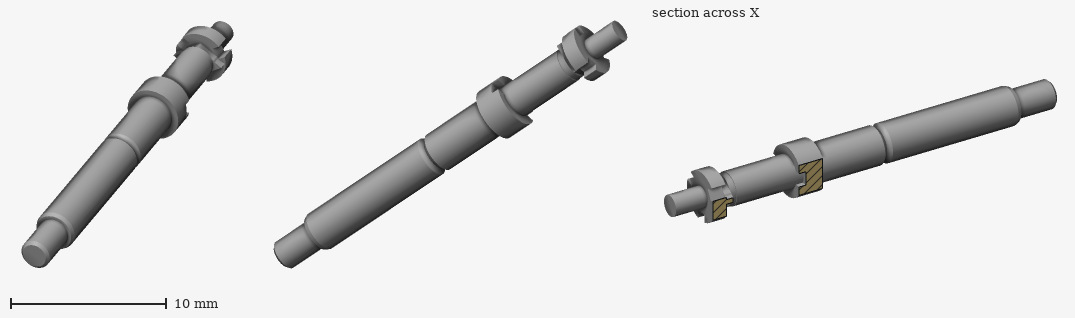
import cadquery as cq
import math

total_length = 28.7

tail_radius = 1.0
barrel_radius = 1.35
groove_radius = 1.1
collar_radius = 1.795
flange_radius = 1.765
sleeve_radius = 1.18
neck_radius = 1.12
tip_radius = 0.75

tail_end = 2.95
groove_centre = 13.0
collar_start = 18.05
collar_end = 19.85
sleeve_end = 24.37
drive_start = 24.8
flange_start = 25.3
flange_end = 26.35

tail_chamfer = 0.2
barrel_chamfer_length = 0.3
barrel_chamfer_height = 0.11
groove_half_width = 0.3

collar_slot_width = 0.95
collar_slot_depth = 0.52

notch_count = 3
notch_width = 0.8
notch_floor = 1.15

cut_clearance = 0.3

drive_ridge = neck_radius
drive_face_slope = math.tan(math.radians(32))
drive_shoulder = 1.15
lug_start = 1.23
lug_tip = 1.7


def extrude_along_y(outline, start, end):
    """Closed (x, z) outline extruded between two Y positions."""
    plane = cq.Workplane("XZ", origin=(0, start, 0))
    return plane.polyline(outline).close().extrude(start - end)


def make_shaft():
    """Turned body up to the drive, with tail, groove and collar."""
    profile = (
        cq.Workplane("XY")
        .lineTo(tail_radius - tail_chamfer, 0)
        .lineTo(tail_radius, tail_chamfer)
        .lineTo(tail_radius, tail_end)
        .lineTo(barrel_radius - barrel_chamfer_height, tail_end)
        .lineTo(barrel_radius, tail_end + barrel_chamfer_length)
        .lineTo(barrel_radius, groove_centre - groove_half_width)
        .lineTo(groove_radius, groove_centre)
        .lineTo(barrel_radius, groove_centre + groove_half_width)
        .lineTo(barrel_radius, collar_start)
        .lineTo(collar_radius, collar_start)
        .lineTo(collar_radius, collar_end)
        .lineTo(sleeve_radius, collar_end)
        .lineTo(sleeve_radius, sleeve_end)
        .lineTo(neck_radius, sleeve_end)
        .lineTo(neck_radius, drive_start)
        .lineTo(0, drive_start)
        .close()
    )
    return profile.revolve(360, (0, 0, 0), (0, 1, 0))


def make_collar_slots():
    """Cutter for the two collar slots, which stop at the sleeve surface."""
    slot_start = collar_end - collar_slot_depth
    bar = cq.Workplane("XY").box(2 * collar_radius + cut_clearance, collar_slot_depth, collar_slot_width)
    bar = bar.translate((0, slot_start + collar_slot_depth / 2, 0))
    sleeve = cq.Workplane("XZ", origin=(0, slot_start, 0)).circle(sleeve_radius)
    return bar.cut(sleeve.extrude(-collar_slot_depth))


def make_drive():
    """Rhombic drive key with a stepped lug on each side."""
    shoulder_height = drive_ridge - drive_shoulder * drive_face_slope
    lug_height = (lug_tip - lug_start) * drive_face_slope
    outline = [
        (0, drive_ridge),
        (drive_shoulder, shoulder_height),
        (lug_start, lug_height),
        (lug_tip, 0),
        (0, -drive_ridge),
        (-lug_tip, 0),
        (-lug_start, lug_height),
        (-drive_shoulder, shoulder_height),
    ]
    return extrude_along_y(outline, drive_start, flange_start)


def make_flange():
    """Flange with flat-floored radial notches."""
    flange = cq.Workplane("XZ", origin=(0, flange_start, 0)).circle(flange_radius)
    flange = flange.extrude(flange_start - flange_end)
    half_width = notch_width / 2
    notch_outline = [
        (-half_width, -notch_floor),
        (half_width, -notch_floor),
        (half_width, -flange_radius - cut_clearance),
        (-half_width, -flange_radius - cut_clearance),
    ]
    notch = extrude_along_y(notch_outline, flange_start, flange_end)
    for index in range(notch_count):
        angle = index * 360 / notch_count
        flange = flange.cut(notch.rotate((0, 0, 0), (0, 1, 0), angle))
    return flange


def make_tip():
    """Plain cylindrical tip in front of the flange."""
    tip = cq.Workplane("XZ", origin=(0, flange_end, 0)).circle(tip_radius)
    return tip.extrude(flange_end - total_length)


shaft = make_shaft().cut(make_collar_slots())
result = shaft.union(make_drive()).union(make_flange()).union(make_tip())